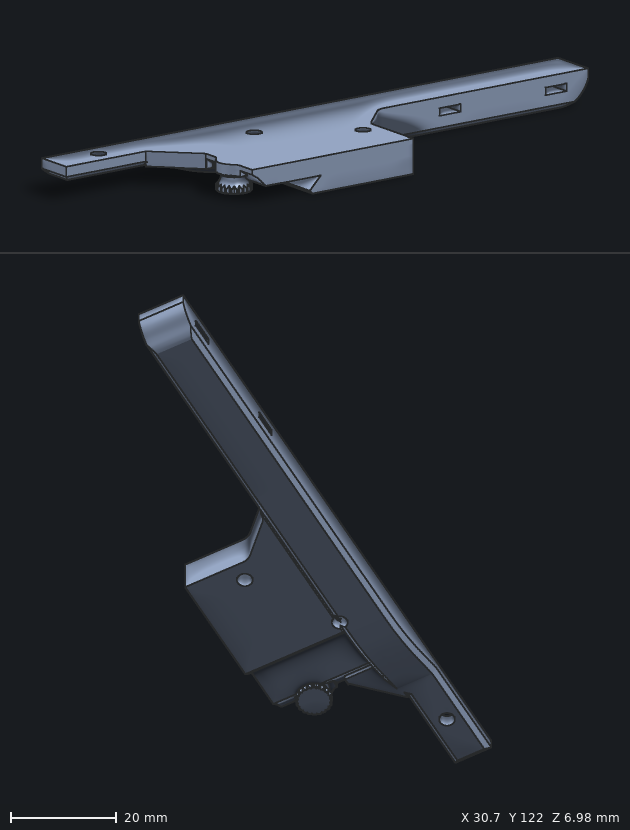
import cadquery as cq
import math

LENGTH = 122.01
HEIGHT = 6.98
RAIL_WIDTH = 9.6
ARM_WIDTH = 7.8
ARM_THICKNESS = 3.0
BOTTOM_CHAMFER = 1.0
RAMP_START_Y = 21.6
RAMP_ANGLE = math.radians(18)
RAMP_END_Y = 40.5
TAIL_FLAT_HEIGHT = 2.1
TAIL_LENGTH = 5.3
TAIL_BULGE = 0.85

TOTAL_WIDTH = 30.68
FLANGE_FRONT_Y = 26.9
FLANGE_BACK_Y = 65.0
FRONT_DIAGONAL = 8.1
BACK_DIAGONAL = 7.4
ARM_CORNER_Y = FLANGE_FRONT_Y - FRONT_DIAGONAL
BACK_CORNER_Y = FLANGE_BACK_Y + BACK_DIAGONAL
BACK_FILLET = 3.0

EDGE_THICKNESS = 1.0
UNDERCUT_START_X = 16.2
SHALLOW_BEVEL_DEPTH = 1.4
SHALLOW_BEVEL_HEIGHT = 0.9
CEILING_Z = -3.7
LIP_Z = -6.3
LIP_FRONT_Y = RAMP_END_Y

HOLE_DIAMETER = 3.0
HOLE_CENTERS = [(3.8, 10.6), (9.0, 43.5), (19.9, 61.1)]
SLOT_LENGTH = 5.0
SLOT_HEIGHT = 1.5
SLOT_Z = -2.9
SLOT_CENTERS_Y = [89.4, 114.4]

WHEEL_X = 22.75
WHEEL_Y = 28.5
WHEEL_DIAMETER = 7.0
NECK_DIAMETER = 6.0
BOSS_BOTTOM_Z = -2.2
BOSS_FILLET = 2.0
WAIST_RADIUS = 2.5
WAIST_Z = -2.8
SHOULDER_Z = -4.3
WHEEL_RIM_TOP_Z = -4.9
WHEEL_RIM_BOTTOM_Z = -5.6
WHEEL_BOTTOM_Z = -5.9
WHEEL_BOTTOM_BEVEL = 0.3
TOOTH_COUNT = 20
TOOTH_GROOVE_SIZE = 0.65

MARGIN = 1.0


def outline_prism(height):
    """Plan outline of rail and flange, extruded down from Z = 0."""
    return (
        cq.Workplane("XY")
        .polyline([
            (0, 0),
            (ARM_WIDTH, 0),
            (ARM_WIDTH, ARM_CORNER_Y),
            (ARM_WIDTH + FRONT_DIAGONAL, FLANGE_FRONT_Y),
            (TOTAL_WIDTH, FLANGE_FRONT_Y),
            (TOTAL_WIDTH, FLANGE_BACK_Y),
            (RAIL_WIDTH + BACK_DIAGONAL, FLANGE_BACK_Y),
            (RAIL_WIDTH, BACK_CORNER_Y),
            (RAIL_WIDTH, LENGTH),
            (0, LENGTH),
        ])
        .close()
        .extrude(-height)
    )


def make_rail():
    """Bar whose underside steps from the thin arm up a ramp to full height."""
    bulge_offset = TAIL_BULGE * math.sqrt(0.5)
    tail_mid = (
        LENGTH - TAIL_LENGTH / 2 + bulge_offset,
        -(HEIGHT + TAIL_FLAT_HEIGHT) / 2 - bulge_offset,
    )
    rail = (
        cq.Workplane("YZ")
        .moveTo(0, 0)
        .lineTo(0, -ARM_THICKNESS)
        .lineTo(RAMP_START_Y, -ARM_THICKNESS)
        .spline(
            [(RAMP_END_Y, -HEIGHT)],
            tangents=[(math.cos(RAMP_ANGLE), -math.sin(RAMP_ANGLE)), (1, 0)],
            includeCurrent=True,
        )
        .lineTo(LENGTH - TAIL_LENGTH, -HEIGHT)
        .threePointArc(tail_mid, (LENGTH, -TAIL_FLAT_HEIGHT))
        .lineTo(LENGTH, 0)
        .close()
        .extrude(RAIL_WIDTH)
    )
    rail = rail.intersect(outline_prism(HEIGHT))
    bottom_edges = cq.selectors.BoxSelector(
        (-MARGIN, -MARGIN, -HEIGHT - MARGIN),
        (RAIL_WIDTH + MARGIN, LENGTH - TAIL_LENGTH - MARGIN, -ARM_THICKNESS + MARGIN),
    )
    underside = rail.edges(bottom_edges)
    front_edge = underside.edges("<Y")
    long_edges = underside.edges("not #Y")
    return long_edges.add(front_edge).chamfer(BOTTOM_CHAMFER)


def make_flange():
    """Full-height body beside the rail, undercut below a thin front edge."""
    body = outline_prism(HEIGHT)
    back_corners = cq.selectors.BoxSelector(
        (RAIL_WIDTH - MARGIN, FLANGE_BACK_Y - MARGIN, -HEIGHT),
        (TOTAL_WIDTH - MARGIN, BACK_CORNER_Y + MARGIN, 0),
    )
    body = body.edges("|Z").edges(back_corners).fillet(BACK_FILLET)

    bevel_y = FLANGE_FRONT_Y + SHALLOW_BEVEL_DEPTH
    bevel_z = -EDGE_THICKNESS - SHALLOW_BEVEL_HEIGHT
    undercut = (
        cq.Workplane("YZ")
        .polyline([
            (0, -HEIGHT),
            (0, -EDGE_THICKNESS),
            (FLANGE_FRONT_Y, -EDGE_THICKNESS),
            (bevel_y, bevel_z),
            (bevel_y + bevel_z - CEILING_Z, CEILING_Z),
            (LIP_FRONT_Y + CEILING_Z - LIP_Z, CEILING_Z),
            (LIP_FRONT_Y, LIP_Z),
            (LIP_FRONT_Y + LIP_Z + HEIGHT, -HEIGHT),
        ])
        .close()
        .extrude(TOTAL_WIDTH)
    )
    rail_zone = cq.Workplane("XY").box(RAIL_WIDTH, LENGTH, HEIGHT, centered=False)
    return body.cut(undercut).cut(rail_zone.translate((0, 0, -HEIGHT)))


def make_corner_web():
    """Slab of arm thickness filling the 45 degree corner between arm and flange."""
    zone = (
        cq.Workplane("XY")
        .box(UNDERCUT_START_X - ARM_WIDTH, FLANGE_FRONT_Y + SHALLOW_BEVEL_DEPTH - ARM_CORNER_Y,
             ARM_THICKNESS, centered=False)
        .translate((ARM_WIDTH, ARM_CORNER_Y, -ARM_THICKNESS))
    )
    return outline_prism(ARM_THICKNESS).intersect(zone)


def make_boss():
    """Round boss under the top face, blended into the front edge of the flange."""
    radius = WHEEL_DIAMETER / 2
    boss = cq.Workplane("XY").center(WHEEL_X, WHEEL_Y).circle(radius).extrude(BOSS_BOTTOM_Z)

    arc_y = FLANGE_FRONT_Y - BOSS_FILLET
    arc_dx = math.sqrt((radius + BOSS_FILLET) ** 2 - (WHEEL_Y - arc_y) ** 2)
    for side in (-1, 1):
        arc_x = WHEEL_X + side * arc_dx
        blend = (
            cq.Workplane("XY")
            .polyline([(arc_x, arc_y), (WHEEL_X, WHEEL_Y), (arc_x, WHEEL_Y)])
            .close()
            .extrude(BOSS_BOTTOM_Z)
        )
        relief = cq.Workplane("XY").center(arc_x, arc_y).circle(BOSS_FILLET).extrude(BOSS_BOTTOM_Z)
        boss = boss.union(blend.cut(relief))
    return boss


def make_wheel():
    """Knurled wheel hanging from the boss on a waisted neck."""
    radius = WHEEL_DIAMETER / 2
    neck_radius = NECK_DIAMETER / 2
    flare_width = neck_radius - WAIST_RADIUS
    flare_height = WAIST_Z - SHOULDER_Z
    flare_radius = (flare_width ** 2 + flare_height ** 2) / (2 * flare_width)
    half_angle = math.asin(flare_height / flare_radius) / 2
    flare_mid = (
        WAIST_RADIUS + flare_radius * (1 - math.cos(half_angle)),
        WAIST_Z - flare_radius * math.sin(half_angle),
    )
    wheel = (
        cq.Workplane("XZ")
        .moveTo(0, BOSS_BOTTOM_Z)
        .lineTo(neck_radius, BOSS_BOTTOM_Z)
        .lineTo(WAIST_RADIUS, WAIST_Z)
        .threePointArc(flare_mid, (neck_radius, SHOULDER_Z))
        .lineTo(radius, WHEEL_RIM_TOP_Z)
        .lineTo(radius, WHEEL_RIM_BOTTOM_Z)
        .lineTo(radius - WHEEL_BOTTOM_BEVEL, WHEEL_BOTTOM_Z)
        .lineTo(0, WHEEL_BOTTOM_Z)
        .close()
        .revolve(360, (0, 0, 0), (0, 1, 0))
    )
    groove = (
        cq.Workplane("XY", origin=(0, 0, WHEEL_BOTTOM_Z))
        .center(radius, 0)
        .rect(TOOTH_GROOVE_SIZE, TOOTH_GROOVE_SIZE)
        .extrude(SHOULDER_Z - WHEEL_BOTTOM_Z)
        .rotate((radius, 0, 0), (radius, 0, 1), 45)
    )
    for tooth in range(TOOTH_COUNT):
        wheel = wheel.cut(groove.rotate((0, 0, 0), (0, 0, 1), tooth * 360 / TOOTH_COUNT))
    return wheel.translate((WHEEL_X, WHEEL_Y, 0))


def make_holes():
    """Vertical pin holes through the full height."""
    return (
        cq.Workplane("XY")
        .pushPoints(HOLE_CENTERS)
        .circle(HOLE_DIAMETER / 2)
        .extrude(-HEIGHT)
    )


def make_slots():
    """Rectangular slots through the rail from side to side."""
    return (
        cq.Workplane("YZ")
        .pushPoints([(y, SLOT_Z) for y in SLOT_CENTERS_Y])
        .rect(SLOT_LENGTH, SLOT_HEIGHT)
        .extrude(RAIL_WIDTH)
    )


result = (
    make_rail()
    .union(make_flange())
    .union(make_corner_web())
    .union(make_boss())
    .union(make_wheel())
    .cut(make_holes())
    .cut(make_slots())
)